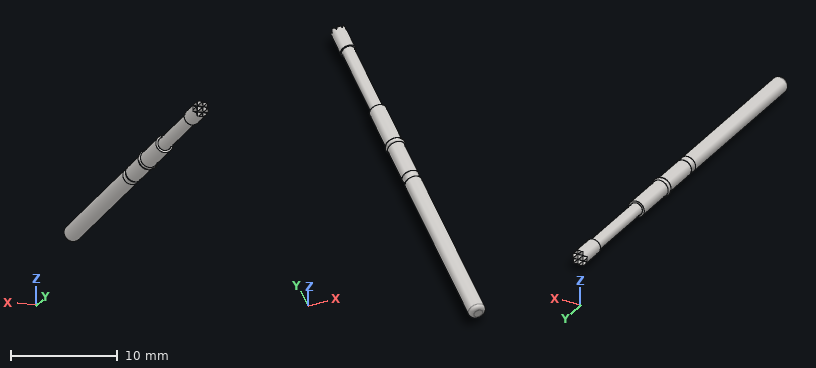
import cadquery as cq
import math

total_length = 38.4
barrel_length = 27.38
head_length = 2.9
collar_rear = 22.4
groove_rear = 17.7

barrel_diameter = 1.73
collar_diameter = 2.0
shaft_diameter = 1.3
head_diameter = 1.57

collar_width = 0.5
groove_width = 0.75
groove_depth = 0.173
tail_radius = 0.42

point_pitch = 0.58
points_per_side = 3
serration_angle = 60.0

barrel_radius = barrel_diameter / 2
collar_radius = collar_diameter / 2
shaft_radius = shaft_diameter / 2
head_radius = head_diameter / 2


def turned_body():
    """Revolve the half outline of the probe about the Y axis."""
    tail_arc_centre = barrel_radius - tail_radius
    tail_arc_offset = tail_radius * math.sqrt(0.5)
    outline = (
        cq.Workplane("XY")
        .lineTo(tail_arc_centre, 0)
        .threePointArc(
            (tail_arc_centre + tail_arc_offset, tail_radius - tail_arc_offset),
            (barrel_radius, tail_radius),
        )
        .lineTo(barrel_radius, groove_rear)
        .threePointArc(
            (barrel_radius - groove_depth, groove_rear + groove_width / 2),
            (barrel_radius, groove_rear + groove_width),
        )
        .lineTo(barrel_radius, collar_rear)
        .threePointArc(
            (collar_radius, collar_rear + collar_width / 2),
            (barrel_radius, collar_rear + collar_width),
        )
        .lineTo(barrel_radius, barrel_length)
        .lineTo(shaft_radius, barrel_length)
        .lineTo(shaft_radius, total_length - head_length)
        .lineTo(head_radius, total_length - head_length)
        .lineTo(head_radius, total_length)
        .lineTo(0, total_length)
        .close()
    )
    return outline.revolve(360, (0, 0, 0), (0, 1, 0))


def serration_cutter():
    """V grooves running along Z, one on each side of every row of points."""
    half_width = point_pitch / 2
    valley_depth = half_width / math.tan(math.radians(serration_angle / 2))
    first_valley = -points_per_side * point_pitch / 2
    cutter = cq.Workplane("XY")
    for index in range(points_per_side + 1):
        valley = first_valley + index * point_pitch
        groove = (
            cq.Workplane("XY")
            .moveTo(valley - half_width, total_length)
            .lineTo(valley, total_length - valley_depth)
            .lineTo(valley + half_width, total_length)
            .close()
            .extrude(head_diameter, both=True)
        )
        cutter = cutter.add(groove)
    return cutter.combine()


grooves_along_z = serration_cutter()
grooves_along_x = grooves_along_z.rotate((0, 0, 0), (0, 1, 0), 90)
result = turned_body().cut(grooves_along_z).cut(grooves_along_x)